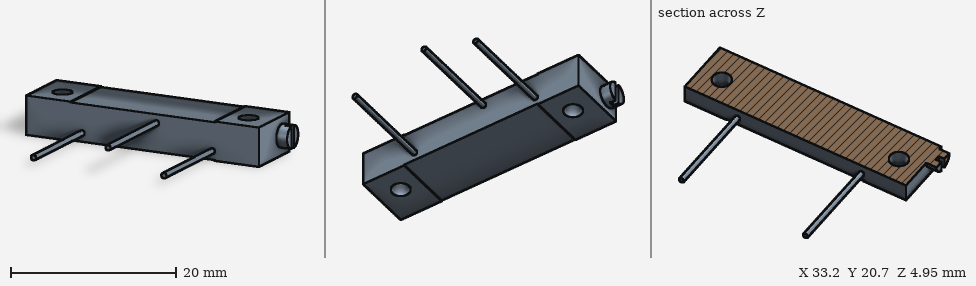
import cadquery as cq


body_length = 31.75
body_width = 8.0
body_height = 4.95
end_block_length = 6.05
recess_depth = 0.1

hole_diameter = 2.4
hole_spacing = 25.4
hole_y = 3.42

grid = 2.54
pin_diameter = 0.71
pin_length = 12.7
pin_row_low = (body_height - grid) / 2
pin_row_high = pin_row_low + grid
pin_places = [
    (3 * grid, pin_row_low),
    (7 * grid, pin_row_high),
    (10 * grid, pin_row_low),
]

screw_diameter = 2.95
screw_length = 1.47
screw_y = 6.06
screw_z = body_height / 2
slot_width = 0.6
slot_depth = 0.8


def make_body():
    """Block whose middle is slightly thinner than its two ends, with two mounting holes."""
    body = cq.Workplane("XY").box(body_length, body_width, body_height, centered=False)
    recess_length = body_length - 2 * end_block_length
    for recess_z in (0, body_height - recess_depth):
        recess = (
            cq.Workplane("XY")
            .box(recess_length, body_width, recess_depth, centered=False)
            .translate((end_block_length, 0, recess_z))
        )
        body = body.cut(recess)
    first_hole_x = (body_length - hole_spacing) / 2
    holes = (
        cq.Workplane("XY")
        .pushPoints([(first_hole_x, hole_y), (first_hole_x + hole_spacing, hole_y)])
        .circle(hole_diameter / 2)
        .extrude(body_height)
    )
    return body.cut(holes)


def make_pins():
    """Round pins standing out from the front face, toward -Y."""
    return cq.Workplane("XZ").pushPoints(pin_places).circle(pin_diameter / 2).extrude(pin_length)


def make_screw():
    """Screw head on the +X end, with a driver slot running along Z."""
    head = (
        cq.Workplane("YZ", origin=(body_length, screw_y, screw_z))
        .circle(screw_diameter / 2)
        .extrude(screw_length)
    )
    slot_center_x = body_length + screw_length - slot_depth / 2
    slot = (
        cq.Workplane("XY")
        .box(slot_depth, slot_width, screw_diameter)
        .translate((slot_center_x, screw_y, screw_z))
    )
    return head.cut(slot)


result = make_body().union(make_pins()).union(make_screw())